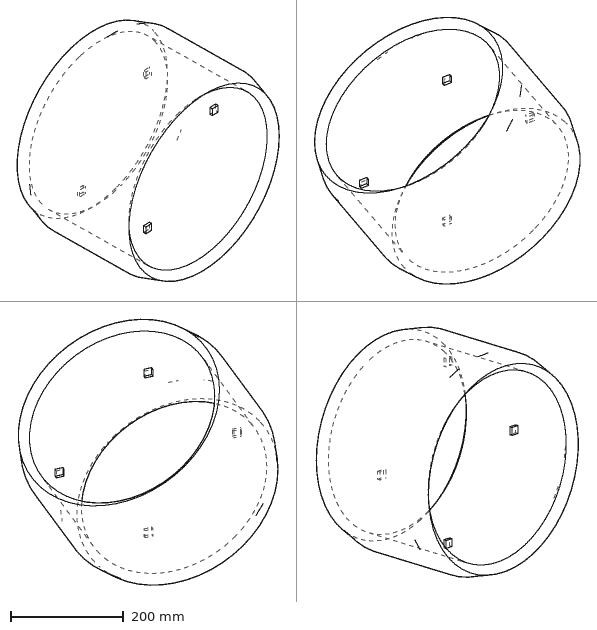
import cadquery as cq

length = 275.0
outer_radius = 206.5
bore_radius = 177.5
rim_radius = 193.0
outer_taper_length = 43.8
inner_taper_length = rim_radius - bore_radius

tab_count = 4
tab_width = 15.0
tab_thickness = 5.8
tab_offset = -1.2
tab_tip_radius = 162.7
tab_root_radius = (bore_radius + outer_radius) / 2


def make_sleeve():
    """Revolve the wall section, which comes to a sharp rim at both ends."""
    half_length = length / 2
    outer_half = half_length - outer_taper_length
    inner_half = half_length - inner_taper_length
    section = [
        (-half_length, rim_radius),
        (-outer_half, outer_radius),
        (outer_half, outer_radius),
        (half_length, rim_radius),
        (inner_half, bore_radius),
        (-inner_half, bore_radius),
    ]
    return cq.Workplane("XY").polyline(section).close().revolve(360, (0, 0, 0), (1, 0, 0))


def make_tab(angle):
    """Make one tab, turned about the X axis from the +Z side, its tip curved concentric with the bore."""
    blank = cq.Workplane("XY").box(
        tab_thickness, tab_width, tab_root_radius, centered=(True, True, False)
    )
    tip_clearance = cq.Workplane("YZ").circle(tab_tip_radius).extrude(tab_thickness, both=True)
    tab = blank.cut(tip_clearance).translate((tab_offset, 0, 0))
    return tab.rotate((0, 0, 0), (1, 0, 0), angle)


result = make_sleeve()
for index in range(tab_count):
    result = result.union(make_tab(index * 360 / tab_count))